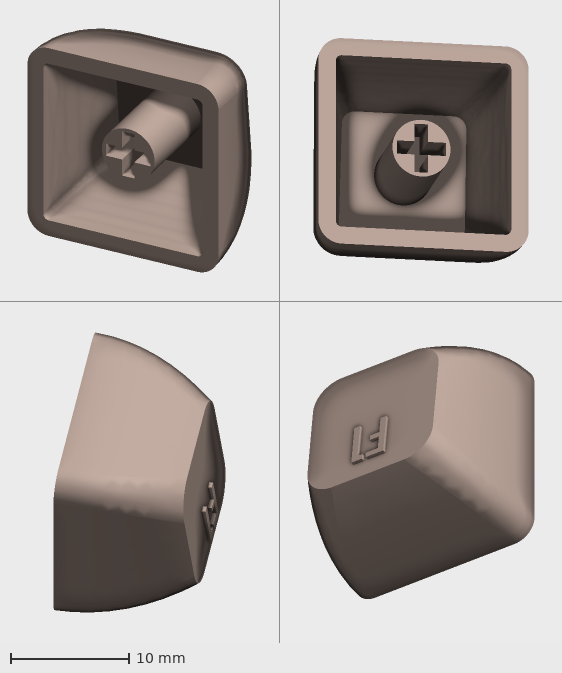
import cadquery as cq
import math

rim_width = 18.1
rim_corner_radius = 2.01
top_corner_radius = 2.72
corner_growth_power = 1.5
top_half_width = 6.34
upper_edge_y = 10.43
upper_edge_z = 6.25
lower_edge_y = 11.95
lower_edge_z = -6.17
section_count = 5
wall = 1.5

stem_diameter = 5.0
stem_recess = 1.0
cross_span = 4.25
cross_arm_width = 1.15
cross_depth = 4.0

plate_width = 3.57
plate_height = 4.6
plate_corner_radius = 0.1
plate_thickness = wall / 2
stroke_height = 0.35
insert_centre_z = -2.57
stroke_group_width = 3.22
stroke_length = 3.96
upright_width = 0.58
crossbar_width = 0.52
crossbar_rise = 1.85
long_foot = 1.8
short_foot = 1.07
middle_bar = 1.5

rim_half = rim_width / 2
face_run_y = upper_edge_y - lower_edge_y
face_run_z = upper_edge_z - lower_edge_z
face_tilt = math.atan2(-face_run_y, face_run_z)
top_mid_y = (upper_edge_y + lower_edge_y) / 2
insert_centre_y = lower_edge_y + (insert_centre_z - lower_edge_z) * face_run_y / face_run_z
stroke_root = wall - plate_thickness


def side_curve(rise, inset, offset, fraction):
    """Point on an arc that leaves the rim straight along +Y and ends at (rise, inset).

    The arc is moved inward by offset, keeping its centre. Returns its Y and its distance
    inside the rim.
    """
    radius = (rise**2 + inset**2) / (2 * inset)
    angle = math.asin(rise / radius) * fraction
    return (radius - offset) * math.sin(angle), radius - (radius - offset) * math.cos(angle)


def cross_section(offset, fraction):
    """Rounded rectangle across the cap: fraction 0 is the rim and 1 is the top."""
    upper_y, upper_inset = side_curve(upper_edge_y, rim_half - upper_edge_z, offset, fraction)
    lower_y, lower_inset = side_curve(lower_edge_y, rim_half + lower_edge_z, offset, fraction)
    _, side_inset = side_curve(top_mid_y, rim_half - top_half_width, offset, fraction)
    run_y = upper_y - lower_y
    run_z = rim_width - upper_inset - lower_inset
    tilt = math.atan2(-run_y, run_z)
    radius_gain = (top_corner_radius - rim_corner_radius) * fraction**corner_growth_power
    radius = rim_corner_radius + radius_gain - offset
    plane = cq.Plane(
        origin=(0, (upper_y + lower_y) / 2, (lower_inset - upper_inset) / 2),
        xDir=(-1, 0, 0),
        normal=(0, math.cos(tilt), math.sin(tilt)),
    )
    outline = cq.Sketch().rect(rim_width - 2 * side_inset, math.hypot(run_y, run_z))
    return outline.vertices().fillet(radius).moved(cq.Location(plane))


def domed_block(offset):
    """Solid inside the cap's outer surface, moved inward by offset."""
    fractions = [i / (section_count - 1) for i in range(section_count)]
    sections = [cross_section(offset, fraction) for fraction in fractions]
    return cq.Workplane("XY").placeSketch(*sections).loft()


def face_plane(depth):
    """Plane parallel to the top face and depth below it, facing out of the cap."""
    plane = cq.Plane(
        origin=(0, insert_centre_y, insert_centre_z),
        xDir=(-1, 0, 0),
        normal=(0, math.cos(face_tilt), math.sin(face_tilt)),
    )
    return cq.Workplane(plane).workplane(offset=-depth)


def make_cavity():
    """Hollow of even wall thickness, with a ceiling parallel to the top face."""
    below_ceiling = face_plane(wall).rect(2 * rim_width, 2 * rim_width).extrude(-rim_width)
    return domed_block(wall).intersect(below_ceiling)


def make_stem():
    """Round post from the middle of the top wall, with a cross-shaped socket in its end."""
    stem_end = cq.Workplane("XZ", origin=(0, stem_recess, 0))
    post_length = top_mid_y - wall / 2 - stem_recess
    post = stem_end.circle(stem_diameter / 2).extrude(-post_length)
    for arm in [(cross_span, cross_arm_width), (cross_arm_width, cross_span)]:
        post = post.cut(stem_end.rect(*arm).extrude(-cross_depth))
    return post


def stroke(outer_side, rise, length, width):
    """Bar from the plate out through the top face.

    It starts at the -X (outer_side = -1) or +X (outer_side = 1) edge of the stroke group and runs
    inward by length. Its lower edge is rise above the foot of the uprights.
    """
    centre_x = outer_side * (stroke_group_width - length) / 2
    centre_up = rise + (width - stroke_length) / 2
    root = face_plane(stroke_root).center(-centre_x, centre_up)
    return root.rect(length, width).extrude(stroke_root + stroke_height)


def make_insert():
    """Plate flush with the ceiling, with strokes that pass through the wall and stand proud."""
    outline = cq.Sketch().rect(plate_width, plate_height).vertices().fillet(plate_corner_radius)
    insert = face_plane(wall).placeSketch(outline).extrude(plate_thickness)
    for outer_side in (-1, 1):
        insert = insert.union(stroke(outer_side, 0, upright_width, stroke_length))
    insert = insert.union(stroke(-1, 0, long_foot, crossbar_width))
    insert = insert.union(stroke(1, 0, short_foot, crossbar_width))
    return insert.union(stroke(-1, crossbar_rise, middle_bar, crossbar_width))


def make_housing(insert):
    """Hollow cap with its stem, recessed and pierced to take the insert."""
    return domed_block(0).cut(make_cavity()).union(make_stem()).cut(insert)


insert = make_insert()
housing = make_housing(insert)
result = cq.Compound.makeCompound([housing.solids().val(), insert.solids().val()])